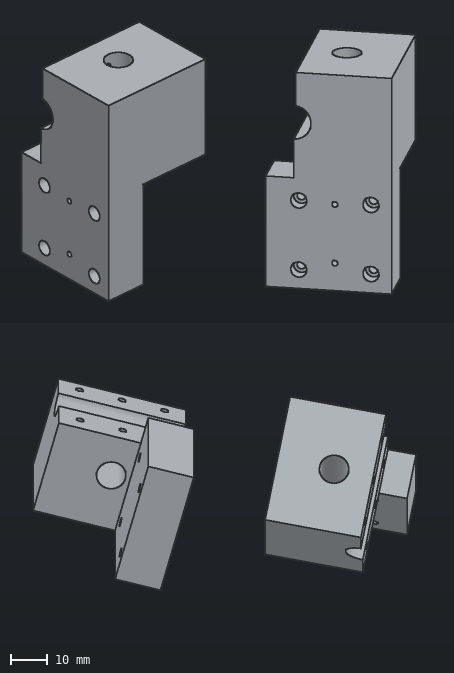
import cadquery as cq
import math

WIDTH = 35.0
DEPTH = 36.0
HEIGHT = 62.5

PLATE_THICKNESS = 12.9
PLATE_TOP = 32.0
LOWER_FACE_X = 7.8
UPPER_FACE_X = 8.4

GROOVE_DIAMETER = 9.6
GROOVE_Z = 48.0

BORE_DIAMETER = 8.0
BORE_X = 19.25
BORE_Y = 18.2

SCREW_SPACING = 20.0
SCREW_CENTER_X = BORE_X
SCREW_CENTER_Z = 15.5
SCREW_DIAMETER = 2.4
COUNTERBORE_DIAMETER = 4.4
COUNTERBORE_DEPTH = 4.0

PLATE_DRILL_DIAMETER = 1.55
PLATE_DRILL_DEPTH = 5.0
PLATE_DRILL_SPACING = 17.0
PLATE_DRILL_CENTER_Z = 16.5

ROW_OFFSET = 10.5
ROW_PITCH = 12.0
ROW_CENTER_Y = DEPTH / 2
TAP_DIAMETER = 2.0
TAP_DEPTH = 10.0

DRILL_POINT_ANGLE = 118.0

INTO_FRONT = (0, 1, 0)
INTO_LEFT = (1, 0, 0)
INTO_TOP = (0, 0, -1)


def box_between(low, high):
    """Box spanning two opposite corners."""
    size = [end - begin for begin, end in zip(low, high)]
    return cq.Workplane("XY").box(*size, centered=False).translate(low)


def cylinder(start, direction, diameter, length):
    """Flat-ended round cutter starting at a point and running along a direction."""
    solid = cq.Solid.makeCylinder(diameter / 2, length, cq.Vector(*start), cq.Vector(*direction))
    return cq.Workplane(solid)


def drill(start, direction, diameter, depth):
    """Round cutter with a conical point beyond its full-diameter depth."""
    radius = diameter / 2
    point_length = radius / math.tan(math.radians(DRILL_POINT_ANGLE / 2))
    axis = cq.Vector(*direction)
    tip_base = cq.Vector(*start) + axis * depth
    point = cq.Workplane(cq.Solid.makeCone(radius, 0, point_length, tip_base, axis))
    return cylinder(start, direction, diameter, depth).union(point)


def make_body():
    """Mounting plate with the stepped upper block on top."""
    plate = box_between((0, 0, 0), (WIDTH, PLATE_THICKNESS, PLATE_TOP))
    lower_block = box_between((LOWER_FACE_X, 0, PLATE_TOP), (WIDTH, DEPTH, GROOVE_Z))
    upper_block = box_between((UPPER_FACE_X, 0, GROOVE_Z), (WIDTH, DEPTH, HEIGHT))
    return plate.union(lower_block).union(upper_block)


def cut_groove(body):
    """Groove centred on the lower left face."""
    return body.cut(cylinder((LOWER_FACE_X, 0, GROOVE_Z), INTO_FRONT, GROOVE_DIAMETER, DEPTH))


def cut_bore(body):
    """Vertical bore that leaves through the underside of the block."""
    return body.cut(cylinder((BORE_X, BORE_Y, HEIGHT), INTO_TOP, BORE_DIAMETER, HEIGHT - PLATE_TOP))


def cut_screw_holes(body):
    """Four through holes counterbored from the front face."""
    for side_x in (-1, 1):
        for side_z in (-1, 1):
            x = SCREW_CENTER_X + side_x * SCREW_SPACING / 2
            z = SCREW_CENTER_Z + side_z * SCREW_SPACING / 2
            start = (x, 0, z)
            body = body.cut(cylinder(start, INTO_FRONT, SCREW_DIAMETER, PLATE_THICKNESS))
            body = body.cut(cylinder(start, INTO_FRONT, COUNTERBORE_DIAMETER, COUNTERBORE_DEPTH))
    return body


def cut_plate_drills(body):
    """Two blind drilled holes midway between the screw columns."""
    for side in (-1, 1):
        z = PLATE_DRILL_CENTER_Z + side * PLATE_DRILL_SPACING / 2
        body = body.cut(drill((SCREW_CENTER_X, 0, z), INTO_FRONT, PLATE_DRILL_DIAMETER, PLATE_DRILL_DEPTH))
    return body


def cut_side_rows(body):
    """Three equal drilled holes in each of the two left faces."""
    for face_x, z in ((LOWER_FACE_X, GROOVE_Z - ROW_OFFSET), (UPPER_FACE_X, GROOVE_Z + ROW_OFFSET)):
        for step in (-1, 0, 1):
            y = ROW_CENTER_Y + step * ROW_PITCH
            body = body.cut(drill((face_x, y, z), INTO_LEFT, TAP_DIAMETER, TAP_DEPTH))
    return body


result = make_body()
result = cut_groove(result)
result = cut_bore(result)
result = cut_screw_holes(result)
result = cut_plate_drills(result)
result = cut_side_rows(result)